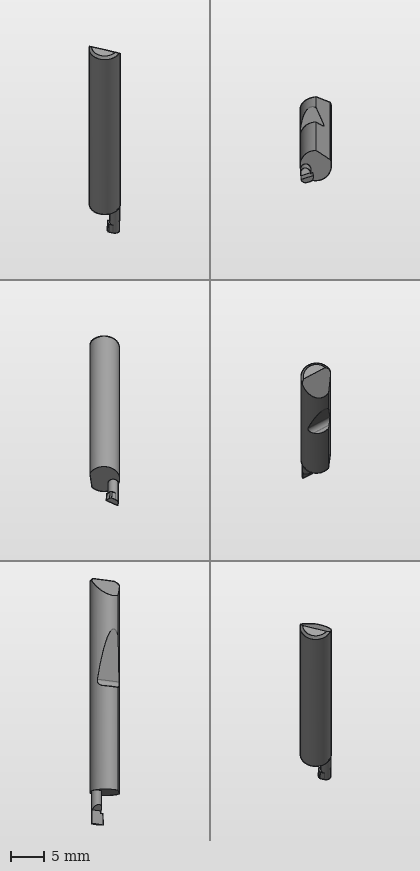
import cadquery as cq
import math

overall_length = 38.1
shank_length = 33.0
shank_diameter = 4.76
shank_radius = shank_diameter / 2
reach = overall_length - shank_length
margin = 1.0

top_chamfer = 0.4
ramp_start_y = -0.62
flat_distance = 2.01
flat_angle = 143.0
notch_floor_z = shank_length - 17.07
notch_long_wall_angle = 9.5
notch_depth = 1.47
notch_radius = 0.9

neck_radius = 0.78
neck_x = shank_radius - neck_radius
neck_back_length = 2.2

tooth_top_z = -3.33
tooth_edge = (0.37, 0.0)
tooth_arc_middle = (0.475, -0.3)
tooth_arc_end = (0.63, -0.58)
tooth_heel = (0.88, -neck_radius)
tooth_back_taper = 0.11
end_relief_angle = 6.0
end_dish_angle = 1.5


def prism_along_x(points):
    """Closed YZ outline extruded across the full width of the shank."""
    width = shank_diameter + 2 * margin
    return cq.Workplane("YZ").polyline(points).close().extrude(width / 2, both=True)


def end_ramp():
    ramp_run = shank_radius - ramp_start_y + margin
    return prism_along_x([
        (ramp_start_y - margin, shank_length + margin),
        (ramp_start_y + ramp_run, shank_length + margin),
        (ramp_start_y + ramp_run, shank_length - ramp_run),
    ])


def side_flat():
    block_height = shank_length + 2 * margin
    return (
        cq.Workplane("XY")
        .box(shank_radius, shank_diameter, block_height, centered=(False, True, False))
        .translate((flat_distance, 0, -margin))
        .rotate((0, 0, 0), (0, 0, 1), flat_angle)
    )


def back_notch():
    """Rounded right-angled notch in the +Y side, tilted off the shank axis."""
    long_wall = notch_depth / math.tan(math.radians(notch_long_wall_angle)) + 2 * margin
    return (
        cq.Workplane("YZ")
        .rect(notch_depth + margin, long_wall, centered=False)
        .extrude(shank_radius + margin, both=True)
        .edges("|X and <Y and <Z")
        .fillet(notch_radius)
        .translate((0, -notch_depth, 0))
        .rotate((0, 0, 0), (1, 0, 0), -notch_long_wall_angle)
        .translate((0, shank_radius, notch_floor_z))
    )


def make_shank():
    shank = cq.Workplane("XY").circle(shank_radius).extrude(shank_length)
    shank = shank.faces(">Z").chamfer(top_chamfer)
    return shank.cut(end_ramp()).cut(side_flat()).cut(back_notch())


def make_neck():
    """Round neck with its +Y half removed below a 45 degree run-out."""
    neck = cq.Workplane("XY").center(neck_x, 0).circle(neck_radius).extrude(-reach)
    rake_cut = prism_along_x([
        (0, -neck_back_length - neck_radius),
        (neck_radius + margin, -neck_back_length + margin),
        (neck_radius + margin, -reach - margin),
        (0, -reach - margin),
    ])
    return neck.cut(rake_cut)


def make_tooth():
    def section(plan, shift):
        def shifted(point):
            return (point[0] + shift, point[1])

        return (
            plan.moveTo(*shifted(tooth_edge))
            .threePointArc(shifted(tooth_arc_middle), shifted(tooth_arc_end))
            .lineTo(*shifted(tooth_heel))
            .lineTo(neck_x, -neck_radius)
            .lineTo(neck_x, 0)
            .close()
        )

    lower = section(cq.Workplane("XY", origin=(0, 0, -reach)), 0)
    upper = section(lower.workplane(offset=reach + tooth_top_z), tooth_back_taper)
    return upper.loft(ruled=True)


def end_relief():
    """Block whose top passes through the cutting corner and trims the end of the tip."""
    return (
        cq.Workplane("XY")
        .box(2 * shank_diameter, 2 * shank_diameter, margin, centered=(True, True, False))
        .translate((0, 0, -margin))
        .rotate((0, 0, 0), (1, 0, 0), -end_relief_angle)
        .rotate((0, 0, 0), (0, 1, 0), -end_dish_angle)
        .translate((tooth_edge[0], tooth_edge[1], -reach))
    )


tip = make_neck().union(make_tooth()).cut(end_relief())
result = make_shank().union(tip)